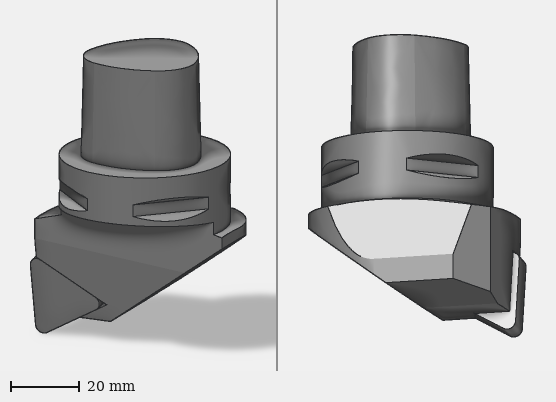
import math

import cadquery as cq


shank_height = 30.0
shank_taper = 1.4
lobe_reach = 18.6
side_reach = 16.3
lobe_radius = 11.9

flange_diameter = 50.0
flange_radius = flange_diameter / 2
flange_bottom = -20.0
front_face_y = -5.2
ledge_inner_z = -16.3
ledge_outer_z = -14.4

groove_count = 4
first_groove_angle = 45.0
groove_z = -10.0
groove_floor_distance = 22.1
groove_floor_height = 3.5
groove_wall_angle = 30.0

head_left = -32.9
head_right = 27.1
head_back = 32.75
head_bottom = -51.6
head_corner_chamfer = 8.65
head_cone_angle = 15.0
right_edge_bottom_z = -24.1
bottom_right_x = -10.4
back_top_y = 27.4
back_slope_end_z = -39.5
back_bottom_z = -46.7
bottom_back_y = 17.1

rake_slope = 0.18
rake_line_slope = -0.096
rake_line_z = -31.3

insert_inradius = 7.95
insert_corner_radius = 2.4
insert_thickness = 6.35
insert_left = -35.0
insert_center_z = -46.4

overrun = 17.65
rim_clearance = 0.9


def polar(radius, degrees):
    angle = math.radians(degrees)
    return radius * math.cos(angle), radius * math.sin(angle)


def make_shank():
    """Three lobe arcs joined by three tangent side arcs."""
    lobe_offset = lobe_reach - lobe_radius
    side_radius = (
        (lobe_radius**2 - lobe_offset**2 - side_reach**2 + lobe_offset * side_reach)
        / (2 * lobe_radius + lobe_offset - 2 * side_reach)
    )
    side_offset = side_radius - side_reach
    lobe_x, lobe_y = polar(lobe_offset, 60)
    away_x, away_y = lobe_x + side_offset, lobe_y
    stretch = lobe_radius / math.hypot(away_x, away_y)
    joint_x, joint_y = lobe_x + away_x * stretch, lobe_y + away_y * stretch
    joint_radius = math.hypot(joint_x, joint_y)
    joint_angle = math.degrees(math.atan2(joint_y, joint_x))

    first_side = 30
    outline = cq.Workplane("XY").moveTo(*polar(joint_radius, first_side - joint_angle))
    for side_angle in range(first_side, first_side + 360, 120):
        lobe_angle = side_angle + 60
        outline = outline.threePointArc(
            polar(side_reach, side_angle),
            polar(joint_radius, side_angle + joint_angle),
        )
        outline = outline.threePointArc(
            polar(lobe_reach, lobe_angle),
            polar(joint_radius, side_angle + 120 - joint_angle),
        )
    return outline.close().extrude(shank_height, taper=shank_taper)


def make_flange():
    flange = cq.Workplane("XY").circle(flange_radius).extrude(flange_bottom)
    rim_y = -flange_radius
    ledge_slope = (ledge_outer_z - ledge_inner_z) / (rim_y - front_face_y)
    end_y = rim_y - overrun
    end_z = ledge_outer_z - ledge_slope * overrun
    below_ledge = (
        cq.Workplane("YZ")
        .polyline([
            (front_face_y, ledge_inner_z),
            (end_y, end_z),
            (end_y, flange_bottom - overrun),
            (front_face_y, flange_bottom - overrun),
        ])
        .close()
        .extrude(flange_radius + overrun, both=True)
    )
    return flange.cut(below_ledge)


def make_groove(angle):
    """Flat-floored groove with flaring walls, cut straight across the rim."""
    depth = flange_radius - groove_floor_distance + rim_clearance
    floor_half = groove_floor_height / 2
    mouth_half = floor_half + depth * math.tan(math.radians(groove_wall_angle))
    return (
        cq.Workplane("XZ", origin=(0, 0, groove_z))
        .polyline([
            (groove_floor_distance, -floor_half),
            (groove_floor_distance + depth, -mouth_half),
            (groove_floor_distance + depth, mouth_half),
            (groove_floor_distance, floor_half),
        ])
        .close()
        .extrude(flange_radius, both=True)
        .rotate((0, 0, 0), (0, 0, 1), angle)
    )


def rake_plane(x, z):
    """Plane of the inclined face, facing the front, with its origin at the given X and Z."""
    drop = rake_line_z + rake_line_slope * x - z
    y = front_face_y + rake_slope * drop
    x_lean = rake_slope * rake_line_slope
    return cq.Plane(
        origin=(x, y, z),
        xDir=(1, x_lean, 0),
        normal=(x_lean, -1, -rake_slope),
    )


def make_head():
    arc_center_y = head_back - head_right
    arc_middle_x, arc_middle_y = polar(head_right, 45)
    block = (
        cq.Workplane("XY")
        .moveTo(head_left, front_face_y)
        .lineTo(head_right, front_face_y)
        .lineTo(head_right, arc_center_y)
        .threePointArc((arc_middle_x, arc_center_y + arc_middle_y), (0, head_back))
        .lineTo(head_left + head_corner_chamfer, head_back)
        .lineTo(head_left, head_back - head_corner_chamfer)
        .close()
        .extrude(head_bottom)
    )

    front_profile = (
        cq.Workplane("XZ")
        .polyline([
            (head_left, 0),
            (head_right, 0),
            (head_right, right_edge_bottom_z),
            (bottom_right_x, head_bottom),
            (head_left, head_bottom),
        ])
        .close()
        .extrude(head_back + overrun, both=True)
    )

    side_profile = (
        cq.Workplane("YZ")
        .polyline([
            (front_face_y, flange_bottom),
            (back_top_y, flange_bottom),
            (head_back, back_slope_end_z),
            (head_back, back_bottom_z),
            (bottom_back_y, head_bottom),
            (front_face_y, head_bottom),
        ])
        .close()
        .extrude(head_right - head_left, both=True)
    )

    cone_radius = flange_radius + 2 * overrun
    cone_drop = (cone_radius - flange_radius) * math.tan(math.radians(head_cone_angle))
    under_cone = (
        cq.Workplane("XZ")
        .polyline([
            (0, flange_bottom),
            (flange_radius, flange_bottom),
            (cone_radius, flange_bottom - cone_drop),
            (cone_radius, head_bottom),
            (0, head_bottom),
        ])
        .close()
        .revolve(360, (0, 0, 0), (0, 1, 0))
    )

    in_front_of_rake = (
        cq.Workplane(rake_plane(0, rake_line_z))
        .center(0, -overrun)
        .rect(6 * overrun, 6 * overrun)
        .extrude(overrun)
    )
    head = block.intersect(front_profile).intersect(side_profile).intersect(under_cone)
    return head.cut(in_front_of_rake)


def make_triangle_prism():
    """Sharp-cornered insert shape, sunk into the head from the inclined face."""
    half_side = insert_inradius * math.sqrt(3)
    return (
        cq.Workplane(rake_plane(insert_left + insert_inradius, insert_center_z))
        .polyline([
            (-insert_inradius, -half_side),
            (2 * insert_inradius, 0),
            (-insert_inradius, half_side),
        ])
        .close()
        .extrude(-insert_thickness)
    )


def make_holder():
    holder = make_flange().union(make_head())
    for index in range(groove_count):
        holder = holder.cut(make_groove(first_groove_angle + index * 360 / groove_count))
    insert_pocket = make_triangle_prism()
    return holder.cut(insert_pocket)


def make_insert():
    edges_along_thickness = cq.selectors.ParallelDirSelector(rake_plane(0, 0).zDir)
    return make_triangle_prism().edges(edges_along_thickness).fillet(insert_corner_radius)


shank = make_shank()
holder = make_holder()
insert = make_insert()

result = cq.Compound.makeCompound([shank.val(), holder.val(), insert.val()])